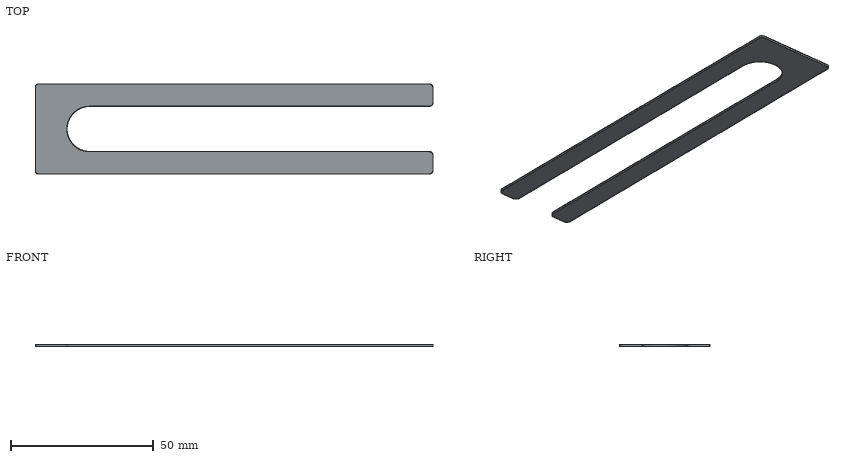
import cadquery as cq

length = 139.7
width = 31.7
thickness = 0.81

slot_width = 15.8
web_length = 11.2

back_corner_radius = 1.1
tip_corner_radius = 1.5


def base_plate():
    """Rectangular plate centred on the origin with rounded back corners."""
    plate = cq.Workplane("XY").box(length, width, thickness)
    return plate.edges("|Z and <X").fillet(back_corner_radius)


def open_slot():
    """Cutter with a semicircular inner end, running out through the +X edge."""
    slot_radius = slot_width / 2
    arc_bottom_x = -length / 2 + web_length
    arc_centre_x = arc_bottom_x + slot_radius
    open_end_x = length / 2
    return (
        cq.Workplane("XY")
        .workplane(offset=-thickness / 2)
        .moveTo(open_end_x, -slot_radius)
        .lineTo(arc_centre_x, -slot_radius)
        .threePointArc((arc_bottom_x, 0), (arc_centre_x, slot_radius))
        .lineTo(open_end_x, slot_radius)
        .close()
        .extrude(thickness)
    )


fork = base_plate().cut(open_slot())

result = fork.edges("|Z and >X").fillet(tip_corner_radius)